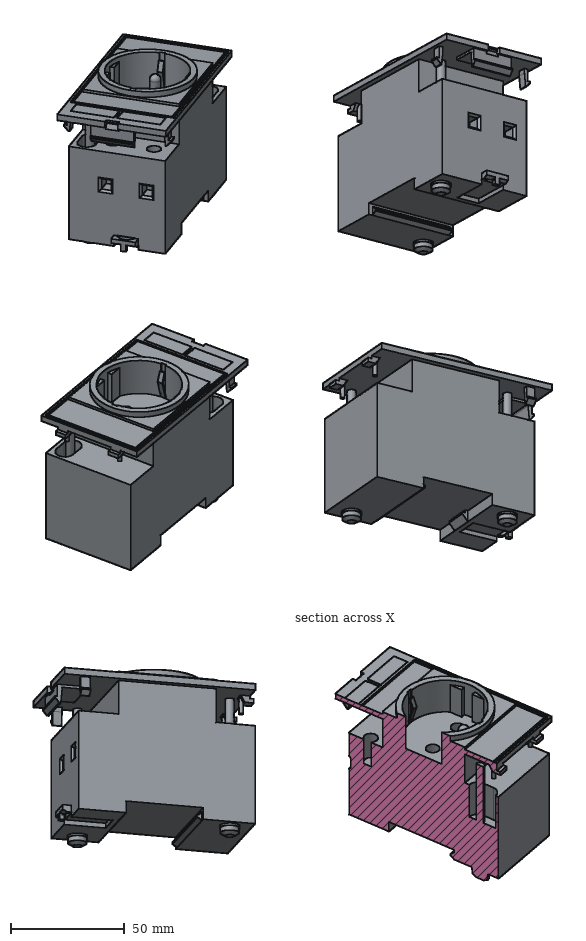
import cadquery as cq


housing_width = 45.0
housing_front = -40.5
housing_rear = 40.2
shoulder_z = 45.3
neck_length = 44.6

plate_width = 50.7
plate_front = -47.8
plate_rear = 39.5
plate_bottom = 60.8
plate_top = 63.7

groove_depth = 0.3
groove_outer_half_width = 24.1
groove_inner_half_width = 23.1
groove_outer_rear = 38.3
groove_inner_rear = 37.4
groove_inner_front = -33.0
groove_outer_front = -33.6
label_half_width = 20.9
label_rear = -35.15
label_front = -42.45
label_depth = 0.1
divider_half_width = 0.8
divider_front = -41.4
divider_depth = 1.2

pad_top = 65.0
ring_top = 67.7
ring_diameter = 43.5
well_diameter = 37.7
well_floor = 50.2
key_inner_x = 16.55
key_top = 65.2
key_gap = 5.7
contact_hole_diameter = 6.1
contact_hole_x = 9.4
contact_hole_depth = 8.9
pin_diameter = 5.0
pin_y = 10.0
pin_dome_center_z = 58.8
spring_width = 2.5
spring_thickness = 0.6
spring_bend_y = 16.2
spring_bend_z = 59.5
spring_top_y = 18.0
spring_top_z = 64.3
spring_slot_y = 19.5

screw_x = 16.2
screw_y = 30.3
flange_diameter = 8.9
flange_bottom = -1.0
head_diameter = 8.4
head_bottom = -3.2
tip_diameter = 4.2
tip_bottom = -4.5
shaft_diameter = 4.0
shaft_top = 58.5
shaft_well_y = 31.7
shaft_well_length = 14.1
shaft_well_width = 8.5
shaft_well_depth = 17.8

terminal_xs = (-5.3, 13.7)
window_width = 6.7
window_height = 7.1
window_center_z = 28.9
window_funnel = 1.1
window_depth = 7.1
terminal_hole_diameter = 6.4
terminal_hole_y = -30.4
terminal_hole_depth = 13.35

rail_front = -18.9
rail_rear = 16.4
rail_depth = 5.3
rail_hook_half_length = 20.5
rail_hook_tip = 14.3
rail_hook_nose_bottom = 1.5
rail_hook_nose_top = 2.3
rail_hook_top = 4.2
latch_left = -1.4
latch_right = 10.0
latch_front = -44.3
latch_bottom = 2.2
latch_bevel_y = 2.0
latch_bevel_z = 1.0
latch_end_block = 2.7
latch_nose_tip = -16.0
latch_nose_step = -17.4
latch_nose_bottom = 3.3
latch_nose_top = 3.9
latch_step_z = 4.2
foot_left = 3.0
foot_right = 5.4
foot_rear = -42.3
grip_radius = 4.45
grip_reach = 2.7
grip_back = 0.4

clip_step_z = 55.3
clip_lip_z = 54.6
clip_bottom = 52.3
clip_taper_z = 58.7
clip_taper = 0.6
clip_bevel = 0.8
front_clip_y = 46.7
front_clip_thickness = 2.1
front_clip_half_width = 10.0
side_clip_x = 23.7
side_clip_thickness = 1.9
side_clip_overhang = 1.3
side_clip_rear = -35.7
side_clip_front = -39.9
rib_bottom = 59.5
rib_rear = -33.5
rear_hook_x = 14.0
rear_hook_width = 5.2
rear_hook_tip = 41.2
rear_hook_top = 59.6
rear_hook_bottom = 57.7
rear_hook_back = 37.1
rear_hook_root = 35.15
peg_diameter = 2.0
peg_y = 36.1
peg_bottom = 52.95
notch_half_width = 3.0
notch_back = -46.0
notch_undercut_back = -45.6
notch_undercut_top = 62.8
notch_undercut_bottom = 62.0
notch_bottom = 59.6


def box(x0, x1, y0, y1, z0, z1):
    """Axis-aligned block between two corners."""
    return cq.Workplane("XY").box(x1 - x0, y1 - y0, z1 - z0, centered=False).translate((x0, y0, z0))


def cylinder(x, y, diameter, z0, z1):
    return cq.Workplane("XY", origin=(x, y, z0)).circle(diameter / 2).extrude(z1 - z0)


def side_profile(points, x0, x1):
    """Prism along X from an outline of (Y, Z) points."""
    return cq.Workplane("YZ", origin=(x0, 0, 0)).polyline(points).close().extrude(x1 - x0)


def make_housing():
    half_width = housing_width / 2
    half_neck = neck_length / 2
    outline = [
        (housing_front, 0),
        (rail_front, 0),
        (rail_front, rail_depth),
        (rail_rear, rail_depth),
        (rail_rear, 0),
        (housing_rear, 0),
        (housing_rear, shoulder_z),
        (half_neck, shoulder_z),
        (half_neck, plate_bottom),
        (-half_neck, plate_bottom),
        (-half_neck, shoulder_z),
        (housing_front, shoulder_z),
    ]
    body = side_profile(outline, -half_width, half_width)
    body = body.cut(box(latch_left, latch_right, housing_front, rail_front, 0, rail_depth))
    rail_hook = [
        (rail_rear, 0),
        (rail_hook_tip, rail_hook_nose_bottom),
        (rail_hook_tip, rail_hook_nose_top),
        (rail_rear, rail_hook_top),
    ]
    return body.union(side_profile(rail_hook, -rail_hook_half_length, rail_hook_half_length))


def cut_terminals(body):
    """Funnel-mouthed wire windows in the front and screw holes in the shoulder above them."""
    inner_width = window_width - 2 * window_funnel
    inner_height = window_height - 2 * window_funnel
    for x in terminal_xs:
        mouth = cq.Workplane("XZ", origin=(x, housing_front, window_center_z))
        funnel = (
            mouth.rect(window_width, window_height)
            .workplane(offset=-window_funnel)
            .rect(inner_width, inner_height)
            .loft(ruled=True)
        )
        bore = mouth.rect(inner_width, inner_height).extrude(-window_depth)
        screw_hole = cylinder(
            x, terminal_hole_y, terminal_hole_diameter, shoulder_z - terminal_hole_depth, shoulder_z
        )
        body = body.cut(funnel).cut(bore).cut(screw_hole)
    return body


def make_latch():
    """Sliding rail latch: beveled grip bar, pull foot, and a nose reaching into the rail slot."""
    bar = side_profile(
        [
            (latch_front, latch_bottom + latch_bevel_z),
            (latch_front + latch_bevel_y, latch_bottom),
            (rail_front - latch_end_block, latch_bottom),
            (rail_front - latch_end_block, 0),
            (rail_front, 0),
            (latch_nose_tip, latch_nose_bottom),
            (latch_nose_tip, latch_nose_top),
            (latch_nose_step, latch_step_z),
            (latch_nose_step, rail_depth),
            (latch_front, rail_depth),
        ],
        latch_left,
        latch_right,
    )
    latch_center_x = (latch_left + latch_right) / 2
    grip_center_y = housing_front - grip_reach + grip_radius
    grip = cylinder(latch_center_x, grip_center_y, 2 * grip_radius, latch_bottom, rail_depth)
    grip = grip.intersect(
        box(latch_left, latch_right, latch_front, housing_front + grip_back, latch_bottom, rail_depth)
    )
    foot = box(foot_left, foot_right, latch_front, foot_rear, 0, latch_bottom + latch_bevel_z)
    return bar.union(foot).cut(grip)


def add_screws(body):
    """Two diagonal screws: heads below, shafts rising from slotted wells in the shoulders."""
    head_outline = [
        (0, 0),
        (flange_diameter / 2, 0),
        (flange_diameter / 2, flange_bottom),
        (head_diameter / 2, flange_bottom),
        (head_diameter / 2, head_bottom),
        (tip_diameter / 2, tip_bottom),
        (0, tip_bottom),
    ]
    head = cq.Workplane("XZ").polyline(head_outline).close().revolve(360, (0, 0, 0), (0, 1, 0))
    well_bottom = shoulder_z - shaft_well_depth
    for side in (-1, 1):
        x = side * screw_x
        y = side * screw_y
        well = (
            cq.Workplane("XY", origin=(x, side * shaft_well_y, shoulder_z))
            .slot2D(shaft_well_length, shaft_well_width, 90)
            .extrude(-shaft_well_depth)
        )
        body = body.cut(well)
        body = body.union(cylinder(x, y, shaft_diameter, well_bottom, shaft_top))
        body = body.union(head.translate((x, y, 0)))
    return body


def clip_leg(outer, thickness, overhang):
    """Snap-leg outline as (outward distance, Z) points, with a beveled lip at the free end."""
    inner = outer - thickness
    return [
        (inner, plate_bottom),
        (outer, plate_bottom),
        (outer, clip_step_z),
        (outer + overhang, clip_step_z),
        (outer + overhang, clip_lip_z),
        (outer - clip_bevel, clip_bottom),
        (inner + clip_taper, clip_bottom),
        (inner, clip_taper_z),
    ]


def make_plate():
    half_width = plate_width / 2
    plate = box(-half_width, half_width, plate_front, plate_rear, plate_bottom, plate_top)
    groove_floor = plate_top - groove_depth
    groove = box(
        -groove_outer_half_width, groove_outer_half_width,
        groove_outer_front, groove_outer_rear, groove_floor, plate_top,
    ).cut(
        box(
            -groove_inner_half_width, groove_inner_half_width,
            groove_inner_front, groove_inner_rear, groove_floor, plate_top,
        )
    )
    plate = plate.cut(groove)
    for x0, x1 in ((-label_half_width, -divider_half_width), (divider_half_width, label_half_width)):
        plate = plate.cut(box(x0, x1, label_front, label_rear, plate_top - label_depth, plate_top))
    return plate.cut(
        box(
            -divider_half_width, divider_half_width,
            divider_front, label_rear, plate_top - divider_depth, plate_top,
        )
    )


def add_clips(plate):
    front_overhang = -plate_front - front_clip_y
    leg = [(-y, z) for y, z in clip_leg(front_clip_y, front_clip_thickness, front_overhang)]
    plate = plate.union(side_profile(leg, -front_clip_half_width, front_clip_half_width))
    plate = plate.union(
        box(
            -front_clip_half_width, front_clip_half_width,
            -front_clip_y, rib_rear, rib_bottom, plate_bottom,
        )
    )

    side_leg = (
        cq.Workplane("XZ", origin=(0, side_clip_rear, 0))
        .polyline(clip_leg(side_clip_x, side_clip_thickness, side_clip_overhang))
        .close()
        .extrude(side_clip_rear - side_clip_front)
    )
    plate = plate.union(side_leg).union(side_leg.mirror("YZ"))

    hook = [
        (plate_rear, plate_bottom),
        (plate_rear, rear_hook_top),
        (rear_hook_tip, rear_hook_top),
        (rear_hook_tip, rear_hook_bottom),
        (rear_hook_back, rear_hook_bottom),
        (rear_hook_root, plate_bottom),
    ]
    for x in (-rear_hook_x, rear_hook_x):
        plate = plate.union(side_profile(hook, x - rear_hook_width / 2, x + rear_hook_width / 2))
        plate = plate.union(cylinder(x, peg_y, peg_diameter, peg_bottom, plate_bottom))

    notch = [
        (plate_front, plate_top),
        (notch_back, plate_top),
        (notch_back, notch_undercut_top),
        (notch_undercut_back, notch_undercut_bottom),
        (-front_clip_y, notch_bottom),
        (plate_front, notch_bottom),
    ]
    return plate.cut(side_profile(notch, -notch_half_width, notch_half_width))


def add_socket(body):
    """Raised pad and ring around a round well with keys, contacts and an earth pin."""
    half_width = housing_width / 2
    half_neck = neck_length / 2
    body = body.union(box(-half_width, half_width, -half_neck, half_neck, plate_top, pad_top))
    body = body.union(cylinder(0, 0, ring_diameter, pad_top, ring_top))
    body = body.cut(cylinder(0, 0, well_diameter, well_floor, ring_top))

    well_radius = well_diameter / 2
    keys = cylinder(0, 0, well_diameter, well_floor, key_top)
    keys = keys.cut(
        box(-key_inner_x, key_inner_x, -well_radius, well_radius, well_floor, key_top)
    )
    keys = keys.cut(
        box(-well_radius, well_radius, -key_gap / 2, key_gap / 2, well_floor, key_top)
    )
    body = body.union(keys)

    half_spring = spring_width / 2
    spring_outline = [
        (spring_slot_y, well_floor),
        (spring_bend_y + spring_thickness, spring_bend_z),
        (spring_top_y + spring_thickness, spring_top_z),
        (spring_top_y, spring_top_z),
        (spring_bend_y, spring_bend_z),
        (spring_slot_y - spring_thickness, well_floor),
    ]
    slots = box(-half_spring, half_spring, -spring_slot_y, spring_slot_y, well_floor, ring_top)
    spring = side_profile(spring_outline, -half_spring, half_spring)
    body = body.cut(slots).union(spring).union(spring.mirror("XZ"))

    for x in (-contact_hole_x, contact_hole_x):
        body = body.cut(
            cylinder(x, 0, contact_hole_diameter, well_floor - contact_hole_depth, well_floor)
        )

    dome = cq.Workplane("XY", origin=(0, pin_y, pin_dome_center_z)).sphere(pin_diameter / 2)
    return body.union(cylinder(0, pin_y, pin_diameter, well_floor, pin_dome_center_z)).union(dome)


housing = add_screws(cut_terminals(make_housing()).union(make_latch()))
cover = add_clips(make_plate())
result = add_socket(housing.union(cover))